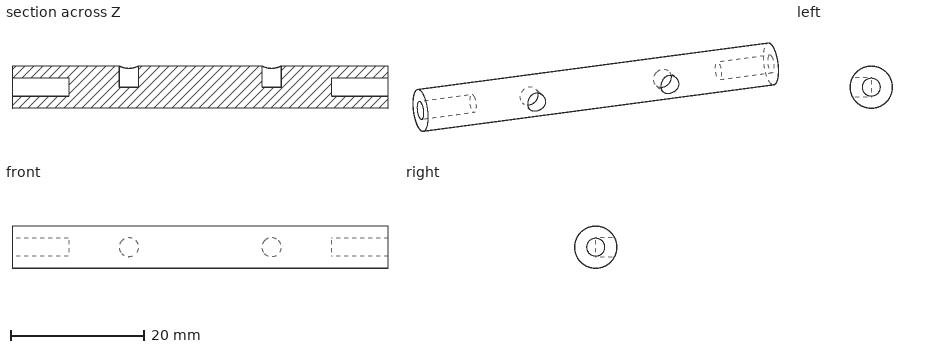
import cadquery as cq

length = 56.3
bar_diameter = 6.35

end_hole_diameter = 2.7
end_hole_depth = 8.45

cross_hole_diameter = 2.85
cross_hole_spacing = 21.4
cross_hole_depth = bar_diameter / 2


def rod(diameter, start_x, rod_length):
    """Cylinder on the X axis, starting at start_x."""
    return cq.Workplane("YZ", origin=(start_x, 0, 0)).circle(diameter / 2).extrude(rod_length)


def cross_hole(x):
    """Cutter running from the +Y side of the bar down to the hole bottom."""
    outer_y = bar_diameter / 2
    plane = cq.Workplane("XZ", origin=(x, outer_y, 0))
    return plane.circle(cross_hole_diameter / 2).extrude(cross_hole_depth)


result = rod(bar_diameter, -length / 2, length)

for start_x in (-length / 2, length / 2 - end_hole_depth):
    result = result.cut(rod(end_hole_diameter, start_x, end_hole_depth))

for x in (-cross_hole_spacing / 2, cross_hole_spacing / 2):
    result = result.cut(cross_hole(x))